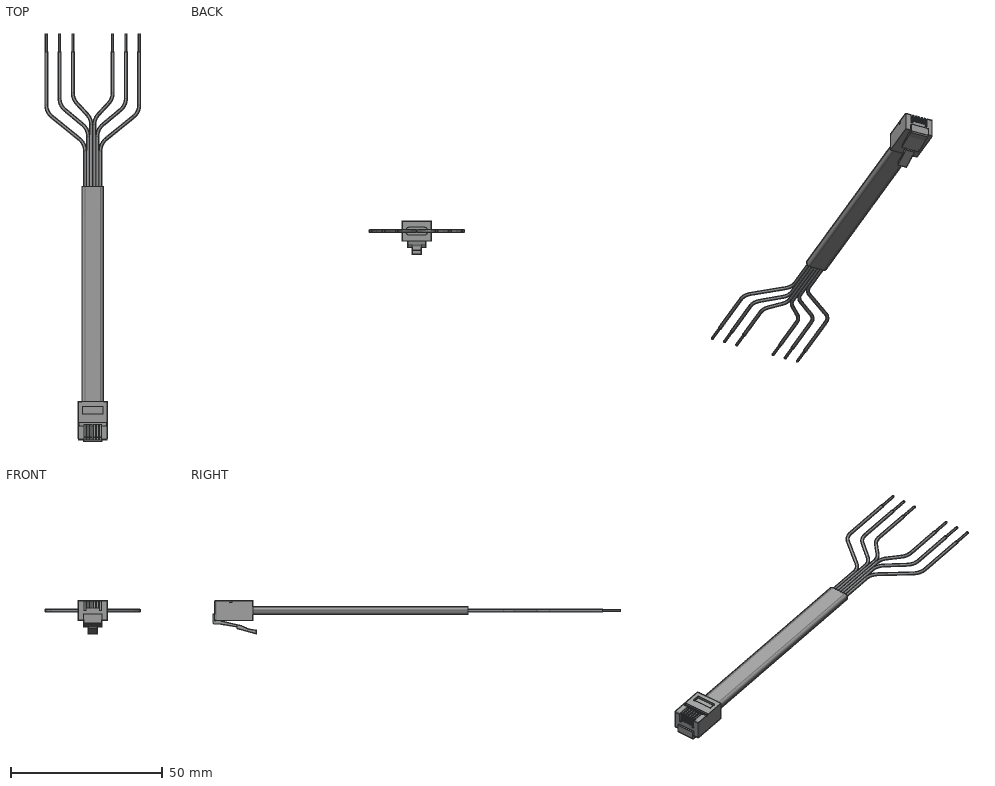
import cadquery as cq
import math


PLUG_WIDTH = 9.65
PLUG_HEIGHT = 6.6
PLUG_LENGTH = 12.6
PLUG_TOP = PLUG_HEIGHT / 2
PLUG_BOTTOM = -PLUG_HEIGHT / 2
NOSE_BEVEL_LENGTH = 0.4
NOSE_BEVEL_DEPTH = 0.1

POCKET_WIDTH = 6.9
POCKET_LENGTH = 2.45
POCKET_REAR = 1.6
POCKET_DEPTH = 0.8

GROOVE_REAR = 6.9
GROOVE_LENGTH = 1.1
GROOVE_DEPTH = 0.7
GROOVE_END_WALL = 0.3
GROOVE_CORNER_RADIUS = 0.4

WAY_COUNT = 6
WAY_PITCH = 1.02
SLOT_WIDTH = 0.66
SLOT_REAR = 7.6
SLOT_DEPTH = 2.45
OUTER_SLOT_DEPTH = 3.2

BLADE_INSET = 0.75
BLADE_DROP = 0.1
BLADE_ROUND = 0.4

LATCH_WIDTH = 6.1
LATCH_TOE_THICKNESS = 0.64
LATCH_TOE_TOP = -1.2
LATCH_TOE_BOTTOM = -4.45
LATCH_TOE_BEVEL = 0.4
LATCH_ROOT = 11.0
LATCH_BEND = 11.1
LATCH_STEP = 5.3
LATCH_STEP_TOP = -4.65
LATCH_STEP_BOTTOM = -5.4
FINGER_WIDTH = 3.1
FINGER_STEP_BOTTOM = -5.95
FINGER_CREST = 3.9
FINGER_CREST_Z = -4.95
FINGER_DIP = 1.4
FINGER_DIP_Z = -6.1
FINGER_OVERHANG = 1.2
FINGER_TIP_TOP = -6.5
FINGER_TIP_BOTTOM = -7.73

JACKET_WIDTH = 7.2
JACKET_THICKNESS = 2.6
JACKET_EDGE_RADIUS = 1.1
JACKET_LENGTH = 71.3
WIRE_DIAMETER = 0.98
WIRE_END = 115.7
WIRE_BEND_RADIUS = 5.0
CONDUCTOR_DIAMETER = 0.7
OVERALL_LENGTH = 135.03
CONDUCTOR_END = OVERALL_LENGTH - PLUG_LENGTH - LATCH_TOE_THICKNESS
FAN_WIDTH = 31.75
FAN_PITCH = 4.4
WIRE_OVERLAP = 1.0

LEAVE_CORNERS = [93.65, 90.2, 85.45]
REJOIN_CORNERS = [100.2, 98.1, 95.85]


def box(width, rear, front, bottom, top, x=0.0):
    """Box centred on x, from distance `rear` to distance `front` ahead of the rear face."""
    return (
        cq.Workplane("XY", origin=(x, -(rear + front) / 2, bottom))
        .box(width, front - rear, top - bottom, centered=(True, True, False))
    )


def side_plate(outline, width):
    """Plate of the given width across X, with an outline of (Y, Z) points."""
    return cq.Workplane("YZ").polyline(outline).close().extrude(width / 2, both=True)


def make_housing():
    nose_rear = PLUG_LENGTH - NOSE_BEVEL_LENGTH
    housing = box(PLUG_WIDTH, 0, nose_rear, PLUG_BOTTOM, PLUG_TOP)
    nose = (
        cq.Workplane("XZ", origin=(0, -nose_rear, 0))
        .rect(PLUG_WIDTH, PLUG_HEIGHT)
        .workplane(offset=NOSE_BEVEL_LENGTH)
        .rect(PLUG_WIDTH - 2 * NOSE_BEVEL_DEPTH, PLUG_HEIGHT - 2 * NOSE_BEVEL_DEPTH)
        .loft(ruled=True)
    )
    pocket = box(POCKET_WIDTH, POCKET_REAR, POCKET_REAR + POCKET_LENGTH, PLUG_TOP - POCKET_DEPTH, PLUG_TOP)
    groove_front = GROOVE_REAR + GROOVE_LENGTH
    groove_width = PLUG_WIDTH - 2 * GROOVE_END_WALL
    groove = (
        box(groove_width, GROOVE_REAR, groove_front, PLUG_TOP - GROOVE_DEPTH, PLUG_TOP)
        .edges("<Y and |Z")
        .fillet(GROOVE_CORNER_RADIUS)
    )
    return housing.union(nose).cut(pocket).cut(groove)


def slot_bottom(way):
    """The outermost slots are deeper than the rest."""
    outermost = way in (0, WAY_COUNT - 1)
    return PLUG_TOP - (OUTER_SLOT_DEPTH if outermost else SLOT_DEPTH)


def make_slot(way, x):
    return box(SLOT_WIDTH, SLOT_REAR, PLUG_LENGTH, slot_bottom(way), PLUG_TOP, x)


def make_blade(way, x):
    """Contact blade that fills its slot, rounded over at both ends of its top."""
    blade_front = PLUG_LENGTH - BLADE_INSET
    blade_top = PLUG_TOP - BLADE_DROP
    return (
        box(SLOT_WIDTH, SLOT_REAR, blade_front, slot_bottom(way), blade_top, x)
        .edges("|X and >Z")
        .fillet(BLADE_ROUND)
    )


def make_latch():
    toe_rear = -PLUG_LENGTH
    toe_front = toe_rear - LATCH_TOE_THICKNESS
    arm = side_plate(
        [
            (toe_front, LATCH_TOE_TOP),
            (toe_front, LATCH_TOE_BOTTOM + LATCH_TOE_BEVEL),
            (toe_front + LATCH_TOE_BEVEL, LATCH_TOE_BOTTOM),
            (-LATCH_BEND, LATCH_TOE_BOTTOM),
            (-LATCH_STEP, LATCH_STEP_BOTTOM),
            (-LATCH_STEP, LATCH_STEP_TOP),
            (-LATCH_ROOT, PLUG_BOTTOM),
            (toe_rear, PLUG_BOTTOM),
            (toe_rear, LATCH_TOE_TOP),
        ],
        LATCH_WIDTH,
    )
    finger = side_plate(
        [
            (-LATCH_STEP, LATCH_STEP_TOP),
            (-LATCH_STEP, FINGER_STEP_BOTTOM),
            (FINGER_OVERHANG, FINGER_TIP_BOTTOM),
            (FINGER_OVERHANG, FINGER_TIP_TOP),
            (-FINGER_DIP, FINGER_DIP_Z),
            (-FINGER_CREST, FINGER_CREST_Z),
        ],
        FINGER_WIDTH,
    )
    return arm.union(finger)


def make_plug():
    plug = make_housing()
    for way in range(WAY_COUNT):
        x = (way - (WAY_COUNT - 1) / 2) * WAY_PITCH
        plug = plug.cut(make_slot(way, x)).union(make_blade(way, x))
    return plug.union(make_latch())


def make_jacket():
    return (
        cq.Workplane("XZ")
        .rect(JACKET_WIDTH, JACKET_THICKNESS)
        .extrude(-JACKET_LENGTH)
        .edges("|Y")
        .fillet(JACKET_EDGE_RADIUS)
    )


def make_wire(pair, side):
    """One insulated wire with its bare end; side is +1 or -1, pair counts outward."""
    x_start = side * (pair + 0.5) * WAY_PITCH
    outermost_x = (FAN_WIDTH - WIRE_DIAMETER) / 2
    x_end = side * (outermost_x - (WAY_COUNT // 2 - 1 - pair) * FAN_PITCH)
    y_start = JACKET_LENGTH - WIRE_OVERLAP
    y_leave = LEAVE_CORNERS[pair]
    y_rejoin = REJOIN_CORNERS[pair]

    turn = math.atan2(abs(x_end - x_start), y_rejoin - y_leave)
    setback = WIRE_BEND_RADIUS * math.tan(turn / 2)
    across = side * setback * math.sin(turn)
    along = setback * math.cos(turn)
    path = (
        cq.Workplane("XY")
        .moveTo(x_start, y_start)
        .lineTo(x_start, y_leave - setback)
        .tangentArcPoint((x_start + across, y_leave + along), relative=False)
        .lineTo(x_end - across, y_rejoin - along)
        .tangentArcPoint((x_end, y_rejoin + setback), relative=False)
        .lineTo(x_end, WIRE_END)
    )
    insulation = (
        cq.Workplane("XZ", origin=(x_start, y_start, 0))
        .circle(WIRE_DIAMETER / 2)
        .sweep(path)
    )
    conductor = (
        cq.Workplane("XZ", origin=(x_end, WIRE_END, 0))
        .circle(CONDUCTOR_DIAMETER / 2)
        .extrude(WIRE_END - CONDUCTOR_END)
    )
    return insulation.union(conductor)


def make_cable():
    cable = make_jacket()
    for pair in range(WAY_COUNT // 2):
        for side in (-1, 1):
            cable = cable.union(make_wire(pair, side))
    return cable


plug = make_plug()
cable = make_cable()

result = cq.Compound.makeCompound([plug.val(), cable.val()])